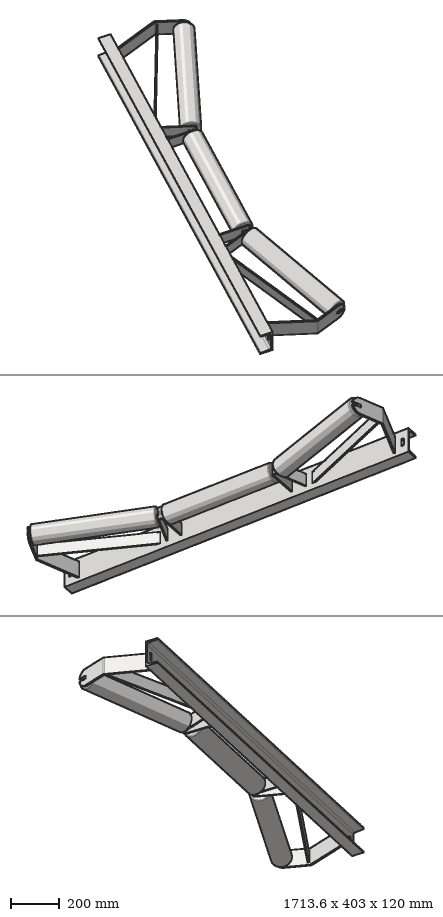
import cadquery as cq
import math


trough_angle = 20.0
sin_tilt = math.sin(math.radians(trough_angle))
cos_tilt = math.cos(math.radians(trough_angle))
tan_tilt = math.tan(math.radians(trough_angle))

rail_length = 1700.0
rail_height = 120.0
rail_depth = 55.0
web_thickness = 7.0
flange_mid_thickness = 9.0
flange_taper = 0.08
root_radius = 9.0
tip_radius = 4.0
mount_spacing = 1642.0
mount_slot_width = 14.0
mount_slot_length = 36.0

roller_diameter = 89.0
roller_radius = roller_diameter / 2
roller_length = 528.0
roller_edge_radius = 4.0
shaft_diameter = 20.0
shaft_flat_width = 14.0
end_gap = 6.0
centre_roller_height = 117.0
wing_outer_end = (-802.7, 307.28)

outer_thickness = 8.0
outer_width = 80.0
outer_tip_reach = 32.0
knee_height = 197.8
inner_thickness = 6.0
inner_width = 60.0
inner_height = 144.0
inner_bend_radius = 2.0

brace_thickness = 7.0
brace_width = 58.0
brace_top_height = 209.0
brace_foot_x = -376.0

half_roller = roller_length / 2
outer_reach = end_gap + outer_thickness
inner_reach = end_gap + inner_thickness
outer_shift = outer_thickness / cos_tilt
inner_shift = inner_thickness / cos_tilt


def along_wing(distance):
    """Point on the left roller's axis, at a distance inward from its outer end."""
    return (wing_outer_end[0] + distance * cos_tilt, wing_outer_end[1] - distance * sin_tilt)


wing_centre = along_wing(half_roller)
outer_seat = along_wing(-outer_reach)
inner_seat = along_wing(roller_length + end_gap)
knee_x = outer_seat[0] - (outer_seat[1] - knee_height) * tan_tilt


def place_on_wing(body):
    """Move a body from the roller's own frame (axis on X) to the left wing roller."""
    return body.rotate((0, 0, 0), (0, 0, 1), -trough_angle).translate((*wing_centre, 0))


def place_in_centre(body):
    return body.translate((0, centre_roller_height, 0))


def round_corner(plate, corner, radius):
    """Round the plate's Z edge at one outline corner."""
    return plate.edges(cq.selectors.NearestToPointSelector((*corner, 0))).fillet(radius)


def make_rail():
    half_height = rail_height / 2

    def flange_underside(depth):
        return half_height - flange_mid_thickness - (rail_depth / 2 - depth) * flange_taper

    root_z = flange_underside(web_thickness)
    tip_z = flange_underside(rail_depth)
    rail = (
        cq.Workplane("YZ")
        .polyline([
            (0, -half_height), (-rail_depth, -half_height), (-rail_depth, -tip_z), (-web_thickness, -root_z),
            (-web_thickness, root_z), (-rail_depth, tip_z), (-rail_depth, half_height), (0, half_height),
        ])
        .close()
        .extrude(rail_length / 2, both=True)
    )
    for y, z, radius in [(-web_thickness, root_z, root_radius), (-rail_depth, tip_z, tip_radius)]:
        for side in (-1, 1):
            rail = rail.edges(cq.selectors.NearestToPointSelector((0, y, side * z))).fillet(radius)
    slots = (
        cq.Workplane("XZ")
        .pushPoints([(-mount_spacing / 2, 0), (mount_spacing / 2, 0)])
        .slot2D(mount_slot_length, mount_slot_width, 90)
        .extrude(web_thickness)
    )
    return rail.cut(slots)


def shaft_bar(start, length):
    """Round bar along X, flattened on its two Z sides."""
    bar = cq.Workplane("YZ", origin=(start, 0, 0)).circle(shaft_diameter / 2).extrude(length)
    flats = cq.Workplane("XY", origin=(start + length / 2, 0, 0)).box(length, shaft_diameter, shaft_flat_width)
    return bar.intersect(flats)


def make_roller(left_reach, right_reach):
    """Roller along X with a flatted shaft reaching out of both ends."""
    shell = (
        cq.Workplane("YZ", origin=(-half_roller, 0, 0))
        .circle(roller_radius)
        .extrude(roller_length)
        .edges()
        .fillet(roller_edge_radius)
    )
    shaft = shaft_bar(-half_roller - left_reach, left_reach + roller_length + right_reach)
    return shell.union(shaft)


def shaft_seat(start, thickness):
    """Cutter for the open-topped shaft slot in a plate that starts at this X."""
    slot_height = roller_diameter
    open_top = cq.Workplane("XY", origin=(start + thickness / 2, slot_height / 2, 0)).box(
        thickness, slot_height, shaft_flat_width
    )
    return shaft_bar(start, thickness).union(open_top)


def make_outer_bracket():
    """Plate bent at the knee, with a rounded, slotted upper end."""
    tip_radius_of_plate = outer_width / 2
    foot_x = knee_x + knee_height * tan_tilt
    tip = (outer_seat[0] + outer_tip_reach * sin_tilt, outer_seat[1] + outer_tip_reach * cos_tilt)
    knee_outside = (knee_x, knee_height)
    knee_inside = (knee_x + outer_shift, knee_height)
    plate = (
        cq.Workplane("XY")
        .polyline([
            (foot_x, 0), knee_outside, tip,
            (tip[0] + outer_thickness * cos_tilt, tip[1] - outer_thickness * sin_tilt),
            knee_inside, (foot_x + outer_shift, 0),
        ])
        .close()
        .extrude(outer_width / 2, both=True)
    )
    plate = round_corner(plate, knee_outside, inner_bend_radius + outer_thickness)
    plate = round_corner(plate, knee_inside, inner_bend_radius)

    plate_start = -half_roller - outer_reach
    round_centre = outer_tip_reach - tip_radius_of_plate
    corner_block = cq.Workplane("XY", origin=(plate_start + outer_thickness / 2,
                                              round_centre + tip_radius_of_plate / 2, 0)).box(
        outer_thickness, tip_radius_of_plate, outer_width
    )
    round_end = cq.Workplane("YZ", origin=(plate_start, round_centre, 0)).circle(tip_radius_of_plate).extrude(
        outer_thickness
    )
    plate = plate.cut(place_on_wing(corner_block.cut(round_end)))
    return plate.cut(place_on_wing(shaft_seat(plate_start, outer_thickness)))


def make_inner_bracket():
    """Plate bent over two corners: a leaning leg for the wing roller, an upright leg for the centre one."""
    lean_foot_x = inner_seat[0] - inner_seat[1] * tan_tilt
    upright_outside_x = -half_roller - end_gap
    upright_inside_x = upright_outside_x - inner_thickness
    inside_height = inner_height - inner_thickness
    outside_corners = [(lean_foot_x + inner_height * tan_tilt, inner_height), (upright_outside_x, inner_height)]
    inside_corners = [
        (upright_inside_x, inside_height),
        (lean_foot_x + inner_shift + inside_height * tan_tilt, inside_height),
    ]
    plate = (
        cq.Workplane("XY")
        .polyline([
            (lean_foot_x, 0), *outside_corners, (upright_outside_x, 0),
            (upright_inside_x, 0), *inside_corners, (lean_foot_x + inner_shift, 0),
        ])
        .close()
        .extrude(inner_width / 2, both=True)
    )
    for corner in outside_corners:
        plate = round_corner(plate, corner, inner_bend_radius + inner_thickness)
    for corner in inside_corners:
        plate = round_corner(plate, corner, inner_bend_radius)
    plate = plate.cut(place_on_wing(shaft_seat(half_roller + end_gap, inner_thickness)))
    return plate.cut(place_in_centre(shaft_seat(-half_roller - inner_reach, inner_thickness)))


def make_brace():
    """Flat bar from the outer bracket's upper leg, just above the knee, down to the rail."""
    top_x = knee_x + outer_shift + (brace_top_height - knee_height) * tan_tilt
    slope = brace_top_height / (brace_foot_x - top_x)
    upright_thickness = brace_thickness * math.hypot(1, slope)
    end_drop = upright_thickness / (1 + slope * tan_tilt)
    return (
        cq.Workplane("XY")
        .polyline([
            (top_x, brace_top_height), (brace_foot_x, 0), (brace_foot_x - upright_thickness / slope, 0),
            (top_x - end_drop * tan_tilt, brace_top_height - end_drop),
        ])
        .close()
        .extrude(brace_width / 2, both=True)
    )


rail = make_rail()
centre_roller = place_in_centre(make_roller(inner_reach, inner_reach))
bodies = [rail.val(), centre_roller.val()]

left_bodies = [
    place_on_wing(make_roller(outer_reach, inner_reach)),
    make_outer_bracket(),
    make_inner_bracket(),
    make_brace(),
]
for left_body in left_bodies:
    bodies.append(left_body.val())
    bodies.append(left_body.mirror("YZ").val())

result = cq.Compound.makeCompound(bodies)